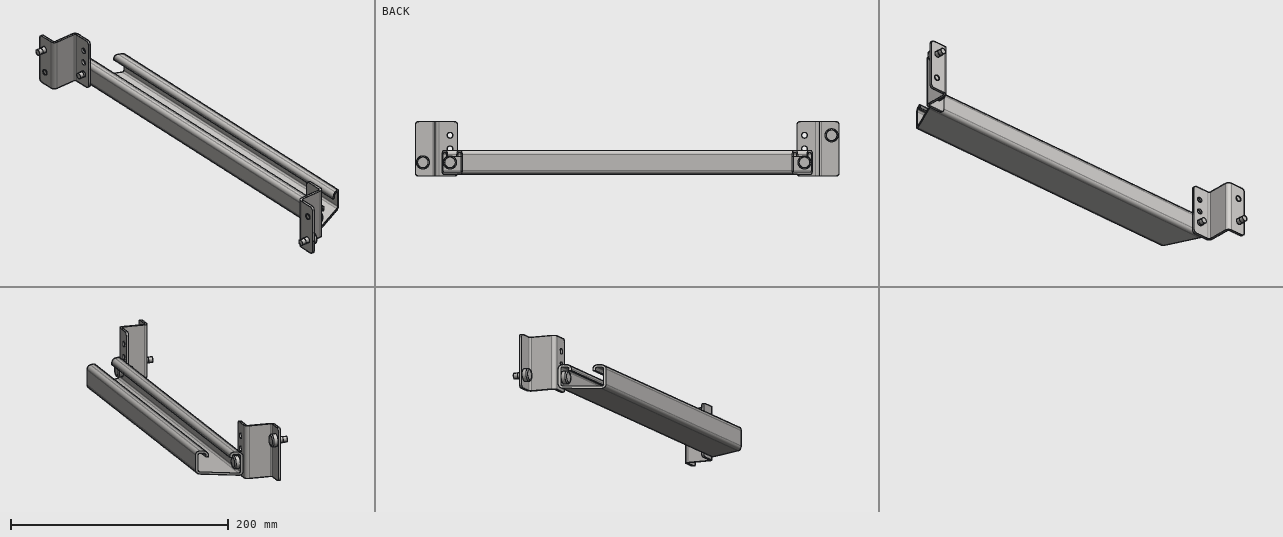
import cadquery as cq

half_length = 389.0 / 2
sheet = 2.2
bend_radius = 1.65

bracket_height = 50.0
bracket_depth = 28.0
bracket_inner_end = 155.5
web_outer_x = 176.5
corner_radius = 3.0
hole_pitch = 12.5
hole_diameter = 5.0
recess_diameter = 5.5
recess_depth = 0.8
inner_hole_x = 162.5
outer_hole_x = 187.5

rail_depth = 39.5
rail_height = 22.0
rail_rise = 1.5
rail_bottom = rail_rise - bracket_height / 2
lip_width = 11.0
lip_drop = 5.5
rail_front_half_length = 170.0
rail_back_half_length = 151.5

head_diameter = 12.0
head_height = 5.0
head_chamfer = 1.0
shank_diameter = 6.0
shank_length = 6.2
tip_diameter = 5.5
screw_protrusion = 8.0
screw_length = sheet + screw_protrusion

SIDES = (-1, 1)


def y_cylinder(x, y, z, diameter, length):
    """Cylinder that starts at (x, y, z) and runs towards +Y."""
    return cq.Workplane("XZ", origin=(x, y, z)).circle(diameter / 2).extrude(-length)


def bent_sheet(corners, half_width):
    """Bent sheet that reaches half_width to both sides of its cross-section.

    The corners are the sharp mid-thickness corners of the cross-section, from one free
    edge to the other.
    """
    start, following = cq.Vector(*corners[0]), cq.Vector(*corners[1])
    along = (following - start).normalized()
    width_axis = along.cross(following - cq.Vector(*corners[2])).normalized()
    mid_line = cq.Wire.makePolygon([cq.Vector(*corner) for corner in corners])
    mid_line = mid_line.fillet(bend_radius + sheet / 2, mid_line.Vertices()[1:-1])
    strip = cq.Workplane(cq.Plane(start, xDir=width_axis, normal=along)).rect(2 * half_width, sheet)
    return strip.sweep(cq.Workplane(mid_line))


def make_bracket(side):
    """Bracket for one end; its outer screw is above mid-height on the left, below on the right."""
    half_sheet = sheet / 2
    web_x = web_outer_x - half_sheet
    bracket = bent_sheet(
        [
            (side * half_length, half_sheet - bracket_depth, 0),
            (side * web_x, half_sheet - bracket_depth, 0),
            (side * web_x, -half_sheet, 0),
            (side * bracket_inner_end, -half_sheet, 0),
        ],
        bracket_height / 2,
    )
    bracket = bracket.edges("|Y").edges("<X or >X").fillet(corner_radius)

    inner_x, outer_x = side * inner_hole_x, side * outer_hole_x
    rail_screw_hole = y_cylinder(inner_x, -sheet, -hole_pitch, shank_diameter, sheet)
    outer_screw_hole = y_cylinder(outer_x, -bracket_depth, -side * hole_pitch, shank_diameter, sheet)
    recess = y_cylinder(outer_x, -bracket_depth, side * hole_pitch, recess_diameter, recess_depth)
    bracket = bracket.cut(rail_screw_hole).cut(outer_screw_hole).cut(recess)
    for z in (0, hole_pitch):
        bracket = bracket.cut(y_cylinder(inner_x, -sheet, z, hole_diameter, sheet))
    return bracket


def make_rail():
    """Channel with inward lips, open towards +Z, its ends cut so that it narrows towards +Y."""
    half_sheet = sheet / 2
    front, back = half_sheet, rail_depth - half_sheet
    bottom, top = rail_bottom + half_sheet, rail_bottom + rail_height - half_sheet
    lip_end = rail_bottom + rail_height - lip_drop
    front_lip, back_lip = lip_width - half_sheet, rail_depth - lip_width + half_sheet
    section = [
        (front_lip, lip_end),
        (front_lip, top),
        (front, top),
        (front, bottom),
        (back, bottom),
        (back, top),
        (back_lip, top),
        (back_lip, lip_end),
    ]
    rail = bent_sheet([(0, y, z) for y, z in section], rail_front_half_length)

    mitre_outline = [
        (-rail_front_half_length, 0),
        (rail_front_half_length, 0),
        (rail_back_half_length, rail_depth),
        (-rail_back_half_length, rail_depth),
    ]
    mitre = (
        cq.Workplane("XY", origin=(0, 0, rail_bottom))
        .polyline(mitre_outline)
        .close()
        .extrude(rail_height)
    )
    rail = rail.intersect(mitre)
    for side in SIDES:
        rail = rail.cut(y_cylinder(side * inner_hole_x, 0, -hole_pitch, shank_diameter, sheet))
    return rail


def make_screw(x, seat_y, z):
    """Screw whose head sits on the seat and whose shank points towards -Y."""
    head = y_cylinder(x, seat_y, z, head_diameter, head_height).faces(">Y").chamfer(head_chamfer)
    shank = y_cylinder(x, seat_y - shank_length, z, shank_diameter, shank_length)
    tip = y_cylinder(x, seat_y - screw_length, z, tip_diameter, screw_length - shank_length)
    return head.union(shank).union(tip)


rail = make_rail()
brackets = [make_bracket(side) for side in SIDES]
rail_screws = [make_screw(side * inner_hole_x, sheet, -hole_pitch) for side in SIDES]
outer_seat = sheet - bracket_depth
outer_screws = [make_screw(side * outer_hole_x, outer_seat, -side * hole_pitch) for side in SIDES]

bodies = [rail, *brackets, *rail_screws, *outer_screws]
result = cq.Compound.makeCompound([body.val() for body in bodies])